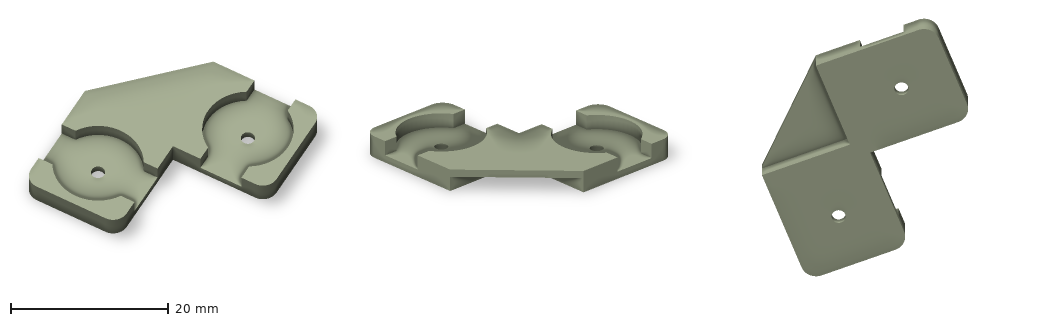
import cadquery as cq

side = 28.0
height = 3.0
pad = side / 2
corner_radius = 2.0
bevel = 12.0
floor = 1.0
web = 1.0
pocket_diameter = 11.65
slot_width = 6.0
hole_diameter = 1.8

pads = [
    (pad / 2, pad / 2, 0),
    (side - pad / 2, side - pad / 2, 90),
]
rounded_corners = [(0, 0), (pad, 0), (side, pad), (side, side)]


def make_plate():
    """L-shaped plate with a bevelled outer corner and rounded pad corners."""
    outline = [
        (0, 0), (pad, 0), (pad, pad), (side, pad),
        (side, side), (bevel, side), (0, side - bevel),
    ]
    plate = cq.Workplane("XY").polyline(outline).close().extrude(height)
    for x, y in rounded_corners:
        edge = cq.selectors.NearestToPointSelector((x, y, height / 2))
        plate = plate.edges("|Z").edges(edge).fillet(corner_radius)
    return plate


def make_pad_cutter(x, y, slot_angle):
    """Round pocket, straight slot across the pad and central through hole."""
    depth = height - floor
    base = cq.Workplane("XY", origin=(x, y, floor))
    pocket = base.circle(pocket_diameter / 2).extrude(depth)
    slot = base.transformed(rotate=(0, 0, slot_angle)).rect(pad, slot_width).extrude(depth)
    hole = cq.Workplane("XY", origin=(x, y, 0)).circle(hole_diameter / 2).extrude(height)
    return pocket.union(slot).union(hole)


def make_corner_recess():
    """Square recess that undercuts the bevelled corner from below."""
    return (
        cq.Workplane("XY", origin=(0, side - bevel, 0))
        .rect(bevel, bevel, centered=False)
        .extrude(height - web)
    )


result = make_plate().cut(make_corner_recess())
for x, y, slot_angle in pads:
    result = result.cut(make_pad_cutter(x, y, slot_angle))